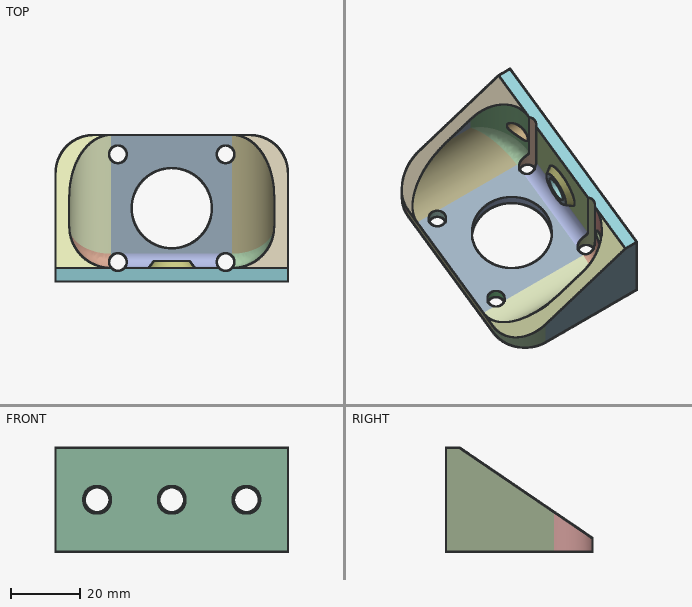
import cadquery as cq

length = 67.0
depth = 42.3
height = 30.0
wall = 3.95
outer_corner_radius = 11.0

pocket_radius = 12.05
floor_fillet = 4.0
pocket_width = length - 2 * wall

bore_diameter = 23.05
bore_y = 21.2
screw_diameter = 5.0
screw_spacing = 31.0

mount_diameter = 7.1
mount_chamfer = 0.5
mount_spacing = 21.5
mount_z = height / 2

boss_base_radius = 6.7
boss_tip_radius = 5.15
boss_height = 2.0


def wedge():
    """Sloped block with rounded rear corners."""
    profile = [(0, 0), (depth, 0), (depth, wall), (wall, height), (0, height)]
    block = cq.Workplane("YZ").polyline(profile).close().extrude(length / 2, both=True)
    return block.edges("|Z and >Y").fillet(outer_corner_radius)


def pocket():
    """Cavity open at the top and rear, with rounded sides, front corners and floor edge."""
    blank = (
        cq.Workplane("XY")
        .box(pocket_width, depth, height, centered=(True, False, False))
        .translate((0, wall, wall))
    )
    rounded_sides = blank.edges("|Y and <Z").fillet(pocket_radius)
    rounded_corners = blank.edges("|Z and <Y").fillet(pocket_radius)
    cavity = rounded_sides.intersect(rounded_corners)
    front_floor_edge = cavity.faces("<Z").edges("<Y")
    return front_floor_edge.fillet(floor_fillet)


def boss():
    """Truncated cone standing on the rear of the front plate."""
    return cq.Workplane(
        cq.Solid.makeCone(
            boss_base_radius,
            boss_tip_radius,
            boss_height,
            pnt=cq.Vector(0, wall, mount_z),
            dir=cq.Vector(0, 1, 0),
        )
    )


def floor_holes():
    """Large central bore and the square of four screw holes around it."""
    center = cq.Workplane("XY").center(0, bore_y)
    bore = center.circle(bore_diameter / 2).extrude(height)
    screws = (
        center.rect(screw_spacing, screw_spacing, forConstruction=True)
        .vertices()
        .circle(screw_diameter / 2)
        .extrude(height)
    )
    return bore.union(screws)


def mount_hole(x):
    """Through hole along Y with a chamfered mouth on the front face."""
    mouth_radius = mount_diameter / 2 + mount_chamfer
    mouth_center = cq.Vector(x, 0, mount_z)
    inward = cq.Vector(0, 1, 0)
    hole = cq.Solid.makeCylinder(mount_diameter / 2, depth, mouth_center, inward)
    mouth = cq.Solid.makeCone(mouth_radius, mount_diameter / 2, mount_chamfer, mouth_center, inward)
    return cq.Workplane(hole).union(cq.Workplane(mouth))


result = wedge().cut(pocket()).union(boss()).cut(floor_holes())
for hole_x in (-mount_spacing, 0, mount_spacing):
    result = result.cut(mount_hole(hole_x))